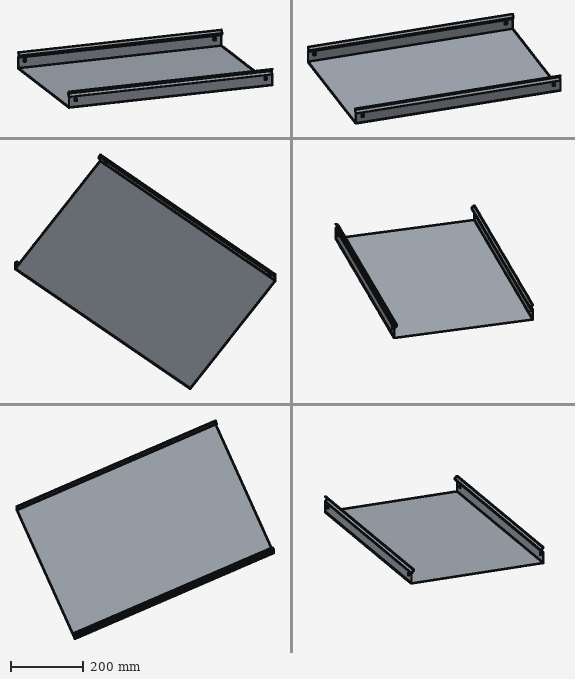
import cadquery as cq
import math

width = 398.0
length = 600.0
height = 46.0
sheet = 1.0

wall_height = 31.0
hole_diameter = 7.0
hole_end_distance = 20.0
hole_height = 21.0

fold_angle = math.radians(45)
fold_depth = (height - wall_height) / 2
fold_height = wall_height + fold_depth
wall_mitre = sheet * math.tan(fold_angle / 2)
lip_width = sheet / math.sin(fold_angle)
arc_offset = sheet * math.sin(fold_angle)


def side_profile():
    """Cross-section of the left wall and its V fold, from its outer face at X = 0."""
    return (
        cq.Workplane("XZ")
        .moveTo(0, 0)
        .lineTo(0, wall_height)
        .lineTo(fold_depth, fold_height)
        .lineTo(0, height)
        .lineTo(lip_width, height)
        .lineTo(fold_depth + arc_offset, fold_height + arc_offset)
        .threePointArc(
            (fold_depth + sheet, fold_height),
            (fold_depth + arc_offset, fold_height - arc_offset),
        )
        .lineTo(sheet, wall_height - wall_mitre)
        .lineTo(sheet, 0)
        .close()
    )


left_side = side_profile().extrude(length / 2, both=True).translate((-width / 2, 0, 0))
right_side = left_side.mirror("YZ")
floor = cq.Workplane("XY").box(width, length, sheet, centered=(True, True, False))
tray = floor.union(left_side).union(right_side)

hole_offset = length / 2 - hole_end_distance
holes = (
    cq.Workplane("YZ")
    .pushPoints([(-hole_offset, hole_height), (hole_offset, hole_height)])
    .circle(hole_diameter / 2)
    .extrude(width, both=True)
)

result = tray.cut(holes)